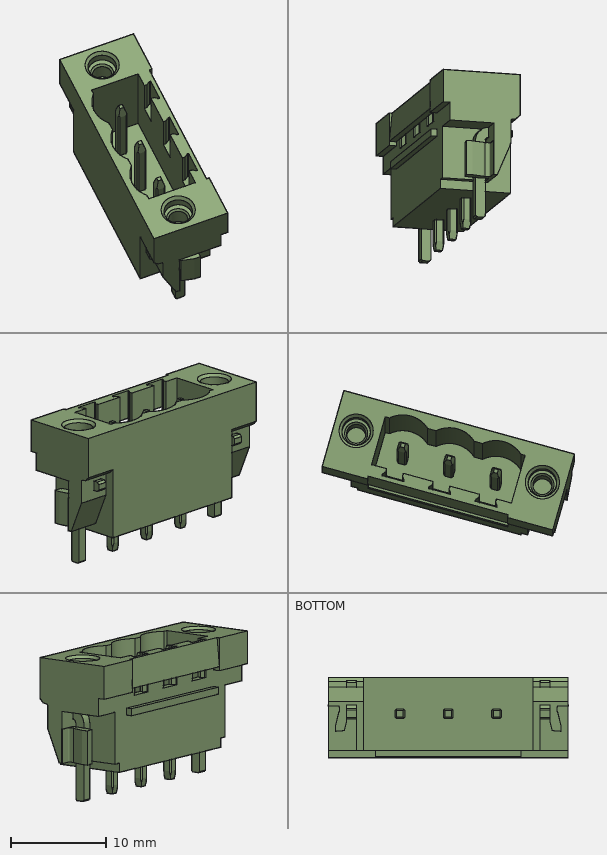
import cadquery as cq
import math


pitch = 5.07
pin_count = 3
pin_xs = [pitch * (i - (pin_count - 1) / 2) for i in range(pin_count)]
flange_x = 2 * pitch
axis_y = 3.8
tail_bottom = -3.23

housing_half_width = 12.57
body_half_width = 8.9
height = 11.96
back_y = 7.67
head_back_y = 8.43
head_bottom = height - 3.5
relief_half_width = 7.62
relief_depth = 0.3
relief_bottom = height - 3.08

flange_bottom = height - 10.98
flange_front_y = 1.0
undercut_start = height - 4.37
undercut_slope = 0.43
undercut_end = height - 4.9
undercut_fillet = 0.15
slope_start = height - 7.45
slope_foot_y = 2.52

cavity_floor = 3.03
cavity_front_y = 1.55
cavity_back_y = 6.85
scallop_radius = 3.08
slot_floor = height - 4.11
slot_mouth_half = 0.9
slot_back_half = 1.19
slot_flare_start_y = 7.17
slot_flare_end_y = 7.52

rib_half_width = relief_half_width
rib_top = height - 5.28
rib_height = 0.75
rib_depth = 0.63

screw_hole_radius = 1.5
screw_hole_chamfer = 0.3
pocket_top = height - 1.15
nut_top = height - 1.5
nut_height = 2.02
nut_bottom = nut_top - nut_height
nut_radius = 2.02
nut_bore_radius = 1.0
nut_chamfer = 0.2

anchor_width = 1.03
anchor_thickness = 1.05
anchor_top = height - 5.45
anchor_bend_radius = 1.5
anchor_front_y = 0.33
anchor_nose_chamfer = 0.23
anchor_foot_chamfer = 0.15

recess_front_y = 2.9
recess_top = height - 5.43
arm_top = height - 7.32
arm_fillet = 0.15
arm_root_y = 2.98
arm_lip = 0.05
arm_neck_y = 3.55
arm_shoulder_y = 3.74
arm_tip_start_y = 4.97
arm_tip_y = 5.65
arm_tip_inner_y = 5.58
arm_neck_inset = 1.14
arm_shoulder_inset = 1.05
arm_tip_inset = 0.75
arm_tip_inner_inset = 1.67
arm_inner_bend_y = 4.55

pin_width = 1.03
pin_corner_chamfer = 0.18
pin_top = height - 0.93
pin_upper_taper = 1.2
pin_upper_tip = 0.43
pin_lower_taper = 0.9
pin_lower_tip = 0.68

anchor_inner_x = flange_x - anchor_width / 2
anchor_outer_x = flange_x + anchor_width / 2


def box(x_min, x_max, y_min, y_max, z_min, z_max):
    """Axis-aligned block between the given limits."""
    block = cq.Workplane("XY").box(x_max - x_min, y_max - y_min, z_max - z_min, centered=False)
    return block.translate((x_min, y_min, z_min))


def both_sides(shape):
    """The shape together with its mirror image across X = 0."""
    return shape.union(shape.mirror("YZ"))


def flange_side():
    """Right-hand flange: a side profile swept along X."""
    flange = (
        cq.Workplane("YZ")
        .moveTo(0, height)
        .lineTo(0, undercut_start)
        .lineTo(undercut_slope, undercut_start - undercut_slope)
        .lineTo(flange_front_y, undercut_end)
        .lineTo(flange_front_y, slope_start)
        .lineTo(slope_foot_y, flange_bottom)
        .lineTo(back_y, flange_bottom)
        .lineTo(back_y, head_bottom)
        .lineTo(head_back_y, head_bottom)
        .lineTo(head_back_y, height)
        .close()
        .extrude(housing_half_width)
    )
    corner = cq.selectors.NearestToPointSelector((housing_half_width / 2, flange_front_y, undercut_end))
    return flange.edges(corner).fillet(undercut_fillet)


def cavity():
    """Plug cavity with one round scallop in front of each pin and a dovetail slot behind it."""
    space = box(-relief_half_width, relief_half_width, cavity_front_y, cavity_back_y, cavity_floor, height)
    scallop_half = math.sqrt(scallop_radius**2 - (axis_y - cavity_front_y) ** 2)
    for x in pin_xs:
        scallop = (
            cq.Workplane("XY", origin=(x, 0, cavity_floor))
            .moveTo(-scallop_half, cavity_front_y)
            .threePointArc((0, axis_y - scallop_radius), (scallop_half, cavity_front_y))
            .close()
            .extrude(height - cavity_floor)
        )
        slot = (
            cq.Workplane("XY", origin=(x, 0, slot_floor))
            .moveTo(-slot_mouth_half, cavity_back_y)
            .lineTo(-slot_mouth_half, slot_flare_start_y)
            .lineTo(-slot_back_half, slot_flare_end_y)
            .lineTo(-slot_back_half, back_y)
            .lineTo(slot_back_half, back_y)
            .lineTo(slot_back_half, slot_flare_end_y)
            .lineTo(slot_mouth_half, slot_flare_start_y)
            .lineTo(slot_mouth_half, cavity_back_y)
            .close()
            .extrude(height - slot_floor)
        )
        space = space.union(scallop).union(slot)
    return space


def back_relief():
    """Space that slopes and shortens the back of the head between the flanges."""
    wedge = (
        cq.Workplane("YZ", origin=(-relief_half_width, 0, 0))
        .moveTo(head_back_y, relief_bottom)
        .lineTo(head_back_y, height)
        .lineTo(head_back_y - relief_depth, height)
        .close()
        .extrude(2 * relief_half_width)
    )
    step = box(-relief_half_width, relief_half_width, back_y, head_back_y, head_bottom, relief_bottom)
    return wedge.union(step)


def screw_hole():
    """Chamfered hole in the right-hand flange that opens into the wider nut pocket."""
    mouth_radius = screw_hole_radius + screw_hole_chamfer
    return (
        cq.Workplane("XZ", origin=(flange_x, axis_y, 0))
        .moveTo(0, nut_bottom)
        .lineTo(nut_radius, nut_bottom)
        .lineTo(nut_radius, pocket_top)
        .lineTo(screw_hole_radius, pocket_top)
        .lineTo(screw_hole_radius, height - screw_hole_chamfer)
        .lineTo(mouth_radius, height)
        .lineTo(0, height)
        .close()
        .revolve(360, (0, 0), (0, 1))
    )


def anchor_recess():
    """Space behind the right-hand flange wall, open to the side, the back and below."""
    return box(anchor_inner_x, housing_half_width, recess_front_y, back_y, flange_bottom, recess_top)


def retaining_arm():
    """Arm of the right-hand flange that reaches back along the outer face of the anchor."""
    neck_x = housing_half_width - arm_neck_inset
    tip_x = housing_half_width - arm_tip_inset
    lip_x = housing_half_width + arm_lip
    arm = (
        cq.Workplane("XY", origin=(0, 0, flange_bottom))
        .moveTo(anchor_outer_x, recess_front_y)
        .lineTo(lip_x, recess_front_y)
        .lineTo(lip_x, arm_root_y)
        .lineTo(neck_x, arm_root_y)
        .lineTo(neck_x, arm_neck_y)
        .lineTo(housing_half_width - arm_shoulder_inset, arm_shoulder_y)
        .lineTo(tip_x, arm_tip_start_y)
        .lineTo(tip_x, arm_tip_y)
        .lineTo(housing_half_width - arm_tip_inner_inset, arm_tip_inner_y)
        .lineTo(anchor_outer_x, arm_inner_bend_y)
        .close()
        .extrude(arm_top - flange_bottom)
    )
    root_corner = cq.selectors.NearestToPointSelector((neck_x, arm_root_y, (arm_top + flange_bottom) / 2))
    return arm.edges(root_corner).fillet(arm_fillet)


def make_anchor():
    """Right-hand anchor: a square bar through the flange wall, bent down into a solder tail."""
    front_face = axis_y - anchor_thickness / 2
    rear_face = axis_y + anchor_thickness / 2
    bend_y = rear_face - anchor_bend_radius
    bend_z = anchor_top - anchor_bend_radius
    inner_radius = anchor_bend_radius - anchor_thickness
    bar_bottom = anchor_top - anchor_thickness
    diagonal = math.sqrt(0.5)
    return (
        cq.Workplane("YZ", origin=(anchor_inner_x, 0, 0))
        .moveTo(anchor_front_y + anchor_nose_chamfer, anchor_top)
        .lineTo(bend_y, anchor_top)
        .threePointArc(
            (bend_y + anchor_bend_radius * diagonal, bend_z + anchor_bend_radius * diagonal),
            (rear_face, bend_z),
        )
        .lineTo(rear_face, tail_bottom + anchor_foot_chamfer)
        .lineTo(rear_face - anchor_foot_chamfer, tail_bottom)
        .lineTo(front_face + anchor_foot_chamfer, tail_bottom)
        .lineTo(front_face, tail_bottom + anchor_foot_chamfer)
        .lineTo(front_face, bend_z)
        .threePointArc(
            (bend_y + inner_radius * diagonal, bend_z + inner_radius * diagonal),
            (bend_y, bar_bottom),
        )
        .lineTo(anchor_front_y + anchor_nose_chamfer, bar_bottom)
        .lineTo(anchor_front_y, bar_bottom + anchor_nose_chamfer)
        .lineTo(anchor_front_y, anchor_top - anchor_nose_chamfer)
        .close()
        .extrude(anchor_width)
    )


def make_nut():
    """Right-hand nut: a disc with a chamfered bore."""
    disc = cq.Workplane("XY", origin=(flange_x, axis_y, nut_bottom)).circle(nut_radius).extrude(nut_height)
    bore_cutter = (
        cq.Workplane("XZ", origin=(flange_x, axis_y, 0))
        .moveTo(0, nut_bottom)
        .lineTo(nut_bore_radius, nut_bottom)
        .lineTo(nut_bore_radius, nut_top - nut_chamfer)
        .lineTo(nut_bore_radius + nut_chamfer, nut_top)
        .lineTo(0, nut_top)
        .close()
        .revolve(360, (0, 0), (0, 1))
    )
    return disc.cut(bore_cutter)


def tapered_tip(base_size, tip_size, length):
    """Square frustum on Z = 0, pointing up."""
    return (
        cq.Workplane("XY")
        .rect(base_size, base_size)
        .workplane(offset=length)
        .rect(tip_size, tip_size)
        .loft(ruled=True)
    )


def make_pin():
    """Contact pin on the Z axis: a bar with chamfered corners and a taper at each end."""
    shank_bottom = tail_bottom + pin_lower_taper
    shank_top = pin_top - pin_upper_taper
    bar = (
        cq.Workplane("XY", origin=(0, 0, tail_bottom))
        .rect(pin_width, pin_width)
        .extrude(pin_top - tail_bottom)
        .edges("|Z")
        .chamfer(pin_corner_chamfer)
    )
    shank = cq.Workplane("XY", origin=(0, 0, shank_bottom)).rect(pin_width, pin_width)
    envelope = shank.extrude(shank_top - shank_bottom)
    upper_tip = tapered_tip(pin_width, pin_upper_tip, pin_upper_taper).translate((0, 0, shank_top))
    lower_tip = tapered_tip(pin_width, pin_lower_tip, pin_lower_taper).mirror("XY")
    envelope = envelope.union(upper_tip).union(lower_tip.translate((0, 0, shank_bottom)))
    return bar.intersect(envelope)


def make_housing(loose_parts):
    """Housing with a matching opening for each pin, anchor and nut."""
    housing = box(-body_half_width, body_half_width, 0, back_y, 0, height)
    housing = housing.union(both_sides(flange_side()))
    housing = housing.union(
        box(-rib_half_width, rib_half_width, back_y, back_y + rib_depth, rib_top - rib_height, rib_top)
    )
    housing = housing.cut(cavity()).cut(back_relief())
    housing = housing.cut(both_sides(screw_hole())).cut(both_sides(anchor_recess()))
    housing = housing.union(both_sides(retaining_arm()))
    for part in loose_parts:
        housing = housing.cut(part)
    return housing


pins = [make_pin().translate((x, axis_y, 0)) for x in pin_xs]
anchors = [make_anchor(), make_anchor().mirror("YZ")]
nuts = [make_nut(), make_nut().mirror("YZ")]
housing = make_housing(pins + anchors)

result = cq.Compound.makeCompound(
    [
        housing.val(),
        *[pin.val() for pin in pins],
        *[anchor.val() for anchor in anchors],
        *[nut.val() for nut in nuts],
    ]
)